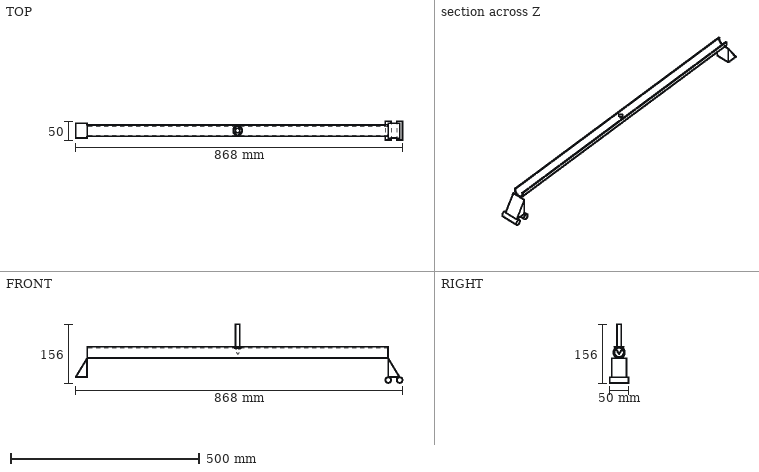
import cadquery as cq

overall_length = 868.0
tube_diameter = 30.0
bore_diameter = 24.0
wedge_length = 30.0
wedge_height = 50.0
wedge_width = 40.0
roller_diameter = 16.0
roller_length = 50.0
rod_diameter = 12.0
rod_height = 60.0
cone_diameter = 24.0
cone_depth = 20.0

tube_radius = tube_diameter / 2
roller_radius = roller_diameter / 2
tube_length = overall_length - 2 * wedge_length - roller_radius
tube_end = tube_length / 2
wedge_base_z = -tube_radius - wedge_height
roller_axis_z = wedge_base_z - roller_radius


def make_pin():
    """Upright rod on an inverted cone whose flat top is level with the tube crown."""
    profile = [
        (0, tube_radius - cone_depth),
        (cone_diameter / 2, tube_radius),
        (rod_diameter / 2, tube_radius),
        (rod_diameter / 2, tube_radius + rod_height),
        (0, tube_radius + rod_height),
    ]
    return cq.Workplane("XZ").polyline(profile).close().revolve(360, (0, 0), (0, 1))


def make_tube(pin):
    """Open tube along X with a seat for the cone of the pin."""
    blank = (
        cq.Workplane("YZ", origin=(-tube_end, 0, 0))
        .circle(tube_radius)
        .circle(bore_diameter / 2)
        .extrude(tube_length)
    )
    return blank.cut(pin)


def make_wedge(side):
    """Triangular foot below a tube end; side is -1 for left and 1 for right."""
    outline = [
        (side * tube_end, -tube_radius),
        (side * tube_end, wedge_base_z),
        (side * (tube_end + wedge_length), wedge_base_z),
    ]
    return cq.Workplane("XZ").polyline(outline).close().extrude(wedge_width / 2, both=True)


def make_roller(axis_x):
    """Solid roller along Y, touching the base plane of the wedge."""
    return (
        cq.Workplane("XZ", origin=(axis_x, roller_length / 2, roller_axis_z))
        .circle(roller_radius)
        .extrude(roller_length)
    )


pin = make_pin()
tube = make_tube(pin)
wedges = [make_wedge(side) for side in (-1, 1)]
rollers = [make_roller(axis_x) for axis_x in (tube_end, tube_end + wedge_length)]

result = cq.Compound.makeCompound(
    [body.val() for body in [tube, pin, *wedges, *rollers]]
)